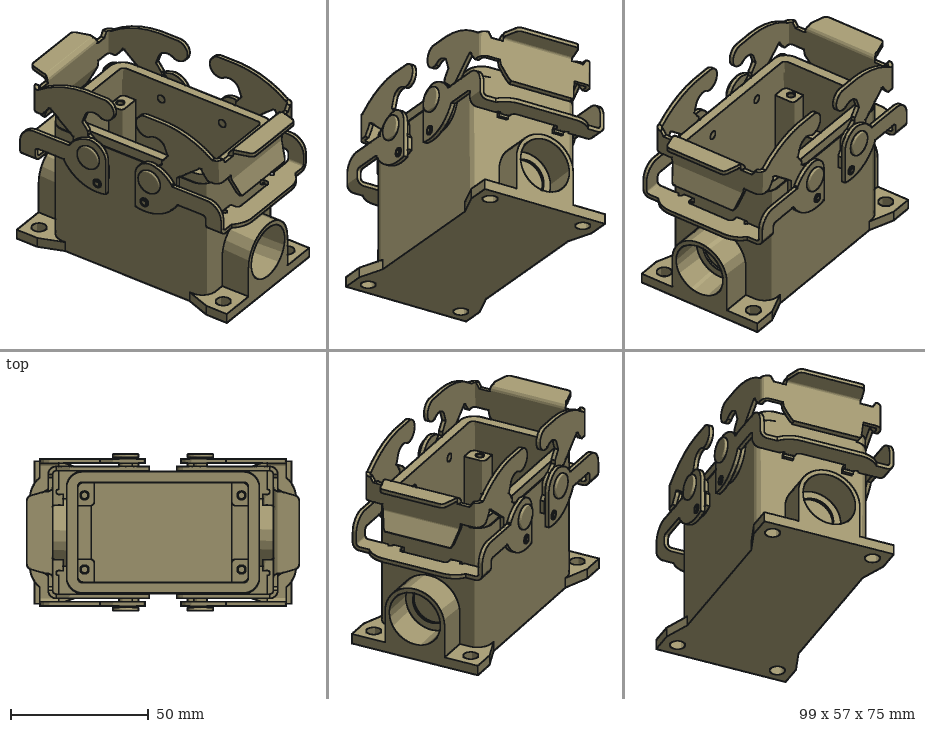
import cadquery as cq
import math

body_half_x = 35.0
body_half_y = 22.3
body_corner_radius = 6.0
body_height = 57.1
rim_height = 4.1
rim_step = 0.3
cavity_half_x = 31.0
cavity_half_y = 18.0
cavity_corner_radius = 1.9
mouth_depth = 4.8
mouth_flare = 0.3
floor_thickness = 4.1
boss_size_x = 6.0
boss_size_y = 8.3
boss_corner_radius = 1.5
boss_top = 45.1
boss_hole_x = 28.5
boss_hole_y = 13.5
boss_hole_radius = 1.3
boss_hole_depth = 14.8
boss_hole_chamfer = 0.3
ledge_sizes_x = {-1: 4.9, 1: boss_size_x}
ledge_top = 31.6
base_half_x = 46.7
base_half_y = 25.9
base_thickness = 4.0
base_shoulder_x = 37.6
base_taper_end_x = 27.6
mount_hole_x = 41.0
mount_hole_y = 20.0
mount_hole_radius = 2.8
port_axis_z = 16.7
port_outer_radius = 12.3
port_bore_radius = 10.5
port_bore_depth = 12.7
knockout_radius = 7.6
knockout_depth = 1.0

sheet = 1.6
bend_radius = 2.9
bend_inner_radius = bend_radius - sheet
hook_outer_y = 24.0
lever_outer_y = 26.7
pivot_x = -13.6
pivot_z = 50.1
shank_radius = 1.6
collar_radius = 2.5
head_radius = 4.8
head_round = 0.5
head_thickness = 1.3
head_outer_y = 28.5
peg_x = -10.5
peg_z = 39.2
peg_radius = 1.7
peg_recess_depth = 0.3
peg_tip_size = 1.9
peg_height = 0.3


def box(x_range, y_range, z_range):
    """Axis-aligned box from its limits."""
    size = [high - low for low, high in (x_range, y_range, z_range)]
    corner = cq.Vector(x_range[0], y_range[0], z_range[0])
    return cq.Workplane(obj=cq.Solid.makeBox(*size, corner))


def rod(radius, start, direction, length):
    """Round bar from a start point along a direction."""
    cylinder = cq.Solid.makeCylinder(radius, length, cq.Vector(*start), cq.Vector(*direction))
    return cq.Workplane(obj=cylinder)


def rounded_block(half_x, half_y, z_low, z_high, radius):
    """Upright block with rounded vertical edges."""
    block = box((-half_x, half_x), (-half_y, half_y), (z_low, z_high))
    return block.edges("|Z").fillet(radius)


def arc_middle(center, radius, u_side, v_side):
    """Middle of the quarter arc that lies toward (u_side, v_side) from its center."""
    offset = radius * math.sqrt(0.5)
    return (center[0] + u_side * offset, center[1] + v_side * offset)


def mirrored_in_y(shape):
    """The shape together with its mirror image across the XZ plane."""
    return shape.union(shape.mirror("XZ"))


def housing_shell():
    """Outer block with the narrower rim at its open end."""
    shoulder_z = body_height - rim_height
    shell = rounded_block(body_half_x, body_half_y, 0, shoulder_z, body_corner_radius)
    rim_radius = body_corner_radius - rim_step
    rim = rounded_block(body_half_x, body_half_y - rim_step, shoulder_z, body_height, rim_radius)
    return shell.union(rim)


def base_flange():
    """Mounting flange with tapered sides and four holes."""
    quarter = [
        (base_half_x, base_half_y),
        (base_shoulder_x, base_half_y),
        (base_taper_end_x, body_half_y),
    ]
    upper = quarter + [(-x, y) for x, y in reversed(quarter)]
    lower = [(x, -y) for x, y in reversed(upper)]
    flange = cq.Workplane("XY").polyline(upper + lower).close().extrude(base_thickness)
    holes = cq.Workplane("XY").rect(2 * mount_hole_x, 2 * mount_hole_y, forConstruction=True).vertices()
    return flange.cut(holes.circle(mount_hole_radius).extrude(base_thickness))


def cable_ports():
    """Arched port stubs at both ends, as one bar through the housing."""
    length = 2 * base_half_x
    barrel = rod(port_outer_radius, (-base_half_x, 0, port_axis_z), (1, 0, 0), length)
    foot = box((-base_half_x, base_half_x), (-port_outer_radius, port_outer_radius), (0, port_axis_z))
    return barrel.union(foot)


def cavity_mouth():
    """Upper part of the cavity, whose long sides lean outward."""
    mouth_z = body_height - mouth_depth
    top_half_y = cavity_half_y + mouth_flare
    section = [
        (-cavity_half_y, mouth_z),
        (cavity_half_y, mouth_z),
        (top_half_y, body_height),
        (-top_half_y, body_height),
    ]
    plane = cq.Workplane("YZ", origin=(-cavity_half_x, 0, 0))
    mouth = plane.polyline(section).close().extrude(2 * cavity_half_x)
    return mouth.edges("not (|X or |Y)").fillet(cavity_corner_radius)


def cavity():
    """Inner space, leaving the screw bosses and end ledges standing."""
    space = rounded_block(cavity_half_x, cavity_half_y, floor_thickness, body_height, cavity_corner_radius)
    space = space.union(cavity_mouth())
    for side_x in (-1, 1):
        end_x = sorted((side_x * cavity_half_x, side_x * (cavity_half_x - ledge_sizes_x[side_x])))
        space = space.cut(box(end_x, (-cavity_half_y, cavity_half_y), (floor_thickness, ledge_top)))
        for side_y in (-1, 1):
            space = space.cut(screw_boss(side_x, side_y))
    return space


def screw_boss(side_x, side_y):
    """Corner boss with a chamfered blind screw hole."""
    boss_x = sorted((side_x * cavity_half_x, side_x * (cavity_half_x - boss_size_x)))
    boss_y = sorted((side_y * cavity_half_y, side_y * (cavity_half_y - boss_size_y)))
    boss = box(boss_x, boss_y, (floor_thickness, boss_top))
    inner_x_side = "<X" if side_x > 0 else ">X"
    inner_y_side = "<Y" if side_y > 0 else ">Y"
    boss = boss.edges("|Z").edges(inner_x_side).edges(inner_y_side).fillet(boss_corner_radius)
    hole_start = (side_x * boss_hole_x, side_y * boss_hole_y, boss_top)
    hole = rod(boss_hole_radius, hole_start, (0, 0, -1), boss_hole_depth)
    boss = boss.cut(hole)
    hole_edge = cq.selectors.RadiusNthSelector(0)
    return boss.faces(">Z").edges("%CIRCLE").edges(hole_edge).chamfer(boss_hole_chamfer)


def build_housing():
    """Housing with port bores, knockouts and pin holes."""
    body = housing_shell().union(base_flange()).union(cable_ports())
    body = body.cut(cavity())
    for side in (-1, 1):
        mouth = (side * base_half_x, 0, port_axis_z)
        body = body.cut(rod(port_bore_radius, mouth, (-side, 0, 0), port_bore_depth))
        body = body.cut(rod(knockout_radius, mouth, (-side, 0, 0), port_bore_depth + knockout_depth))
    for side_x in (-1, 1):
        start = (side_x * pivot_x, -body_half_y, pivot_z)
        body = body.cut(rod(shank_radius, start, (0, 1, 0), 2 * body_half_y))
    return body


frame_outer_x = -41.7
frame_inner_x = frame_outer_x + sheet
hook_start_x = frame_outer_x + bend_radius
frame_bottom = 57.5
frame_top = 67.5
tab_top = 68.4
tab_end_x = -49.5
hook_top = 75.0
hook_tip_radius = 4.4
hook_tip_x = -9.2

lever_outer_x = -44.7
lever_inner_x = -37.9
lever_right_x = -6.5
arm_top = 51.1
arm_bottom = 44.0
arm_outer_radius = 6.5
arm_inner_radius = 1.4
bridge_bottom = 37.8
bridge_top = bridge_bottom + sheet
lever_bend_z = bridge_bottom + bend_radius
lip_near_y = 9.9
lip_far_y = 13.9
lip_end_x = -36.2
lip_bottom = 37.0


def hook_plate():
    """Side plate with the hook, on the -Y side."""
    neck_arc_radius = 4.2
    tip_center = (hook_tip_x, hook_top - hook_tip_radius)
    pivot = (pivot_x, pivot_z)
    neck_x = -16.4
    foot_back_x = -23.0
    foot_front_x = -8.1
    outline = (
        cq.Workplane("XZ", origin=(0, -hook_outer_y + sheet, 0))
        .moveTo(hook_start_x, frame_top)
        .threePointArc((-28.8, 72.8), (-17.7, hook_top))
        .lineTo(hook_tip_x, hook_top)
        .threePointArc(arc_middle(tip_center, hook_tip_radius, 1, -1), (-10.7, 66.4))
        .threePointArc((-13.9, 67.5), (-17.5, 65.4))
        .lineTo(-19.0, 61.5)
        .lineTo(neck_x, 58.2)
        .lineTo(neck_x, 56.6)
        .lineTo(pivot_x, pivot_z + neck_arc_radius)
        .threePointArc(arc_middle(pivot, neck_arc_radius, 1, 1), (pivot_x + neck_arc_radius, pivot_z))
        .lineTo(-9.4, 47.0)
        .lineTo(foot_front_x, 45.2)
        .lineTo(foot_front_x, 40.2)
        .threePointArc((-18.0, 40.8), (foot_back_x, 48.5))
        .lineTo(foot_back_x, 53.2)
        .lineTo(-33.2, 61.6)
        .lineTo(-33.9, 61.6)
        .lineTo(-34.6, 60.3)
        .lineTo(-36.9, frame_bottom)
        .lineTo(hook_start_x, frame_bottom)
        .close()
    )
    return outline.extrude(sheet)


def sheet_bend(plane, origin, length):
    """Quarter bend toward the negative axes of a plane, with its axis through the origin."""
    center = (0, 0)
    return (
        cq.Workplane(plane, origin=origin)
        .moveTo(-bend_radius, 0)
        .threePointArc(arc_middle(center, bend_radius, -1, -1), (0, -bend_radius))
        .lineTo(0, -bend_inner_radius)
        .threePointArc(arc_middle(center, bend_inner_radius, -1, -1), (-bend_inner_radius, 0))
        .close()
        .extrude(length)
    )


def hook_corner():
    """Upright bend between hook plate and cross plate."""
    axis = (hook_start_x, -hook_outer_y + bend_radius, frame_bottom)
    return sheet_bend("XY", axis, frame_top - frame_bottom)


def symmetric_outline(half):
    """Closed outline from the points of its +Y half."""
    return half + [(u, -v) for u, v in reversed(half)]


def cross_plate():
    """Flat plate between the two corners, with raised ends."""
    half_y = hook_outer_y - bend_radius
    shoulder_z = 65.4
    half_face = [
        (frame_bottom, half_y),
        (frame_top, half_y),
        (shoulder_z, 19.8),
    ]
    face = [(y, z) for z, y in symmetric_outline(half_face)]
    return cq.Workplane("YZ", origin=(frame_outer_x, 0, 0)).polyline(face).close().extrude(sheet)


def thumb_tab():
    """Tab bent outward from the top of the cross plate, narrowing to a rounded end."""
    root_half_y = 15.6
    neck_half_y = 14.8
    end_half_y = 13.0
    end_round = 2.0
    bend_x = frame_inner_x - bend_radius
    bend_z = tab_top - bend_radius
    bend_center = (bend_x, bend_z)
    profile = (
        cq.Workplane("XZ", origin=(0, root_half_y, 0))
        .moveTo(tab_end_x, tab_top)
        .lineTo(bend_x, tab_top)
        .threePointArc(arc_middle(bend_center, bend_radius, 1, 1), (frame_inner_x, bend_z))
        .lineTo(frame_inner_x, frame_bottom)
        .lineTo(frame_outer_x, frame_bottom)
        .lineTo(frame_outer_x, bend_z)
        .threePointArc(arc_middle(bend_center, bend_inner_radius, 1, 1), (bend_x, bend_z + bend_inner_radius))
        .lineTo(tab_end_x, tab_top - sheet)
        .close()
        .extrude(2 * root_half_y)
    )
    half_plan = [
        (frame_inner_x, root_half_y),
        (frame_outer_x, neck_half_y),
        (bend_x, neck_half_y),
        (tab_end_x, end_half_y),
    ]
    plan = (
        cq.Workplane("XY", origin=(0, 0, frame_bottom))
        .polyline(symmetric_outline(half_plan))
        .close()
        .extrude(tab_top - frame_bottom)
    )
    return profile.intersect(plan.edges("|Z and <X").fillet(end_round))


def kicked_tab():
    """Tab below the cross plate, bent outward at its lower part."""
    root_half_y = 16.1
    kick_z = 55.0
    kick_end = (-44.7, 48.3)
    kick_angle = math.atan2(frame_outer_x - kick_end[0], kick_z - kick_end[1])
    inner_corner = (frame_outer_x, kick_z + sheet * math.tan(kick_angle / 2))
    profile = (
        cq.Workplane("XZ", origin=(0, root_half_y, 0))
        .moveTo(frame_inner_x, frame_bottom)
        .lineTo(frame_inner_x, kick_z)
        .lineTo(kick_end[0] + sheet * math.cos(kick_angle), kick_end[1] - sheet * math.sin(kick_angle))
        .lineTo(*kick_end)
        .lineTo(*inner_corner)
        .lineTo(frame_outer_x, frame_bottom)
        .close()
        .extrude(2 * root_half_y)
    )
    for corner, radius in (((frame_inner_x, kick_z), bend_radius), (inner_corner, bend_inner_radius)):
        nearest = cq.selectors.NearestToPointSelector((corner[0], 0, corner[1]))
        profile = profile.edges("|Y").edges(nearest).fillet(radius)
    half_face = [
        (frame_bottom, root_half_y),
        (55.8, 15.8),
        (49.3, 14.1),
        (47.5, 13.0),
    ]
    face = [(y, z) for z, y in symmetric_outline(half_face)]
    plane = cq.Workplane("YZ", origin=(tab_end_x, 0, 0))
    cutter = plane.polyline(face).close().extrude(frame_inner_x - tab_end_x)
    return profile.intersect(cutter)


def lever_plate():
    """Outer side plate of the lever, on the -Y side."""
    arm_center = (lever_outer_x + arm_outer_radius, arm_top - arm_outer_radius)
    fillet_center = (lever_inner_x + arm_inner_radius, arm_bottom - arm_inner_radius)
    outline = (
        cq.Workplane("XZ", origin=(0, -lever_outer_y + sheet, 0))
        .moveTo(lever_outer_x, lever_bend_z)
        .lineTo(lever_outer_x, arm_center[1])
        .threePointArc(arc_middle(arm_center, arm_outer_radius, -1, 1), (arm_center[0], arm_top))
        .lineTo(-23.0, arm_top)
        .lineTo(-22.8, 51.7)
        .threePointArc((-18.7, 55.3), (pivot_x, 57.1))
        .threePointArc((-8.5, 54.9), (lever_right_x, 50.5))
        .lineTo(lever_right_x, 35.9)
        .threePointArc((-19.4, 37.9), (-25.3, arm_bottom))
        .lineTo(fillet_center[0], arm_bottom)
        .threePointArc(arc_middle(fillet_center, arm_inner_radius, -1, 1), (lever_inner_x, fillet_center[1]))
        .lineTo(lever_inner_x, lever_bend_z)
        .close()
    )
    return outline.extrude(sheet)


def lever_corner():
    """Bend between lever plate and bridge."""
    axis = (lever_outer_x, -lever_outer_y + bend_radius, lever_bend_z)
    return sheet_bend("YZ", axis, lever_inner_x - lever_outer_x)


def bridge():
    """Flat bar joining the two lever plates, with a wide grip edge."""
    half_y = lever_outer_y - bend_radius
    grip_x = -48.4
    recess_x = -40.6
    recess_round = 1.5
    relief_radius = 0.9
    grip_half_y = 12.7
    shoulder = (-45.9, 18.8)
    shoulder_root_y = 19.9
    grip_arc_middle = (-47.7, 15.8)
    plate = (
        cq.Workplane("XY", origin=(0, 0, bridge_bottom))
        .moveTo(lever_inner_x, half_y)
        .lineTo(lever_outer_x, half_y)
        .lineTo(lever_outer_x, shoulder_root_y)
        .lineTo(*shoulder)
        .threePointArc(grip_arc_middle, (grip_x, grip_half_y))
        .lineTo(grip_x, 0)
        .lineTo(lever_inner_x, 0)
        .close()
        .extrude(sheet)
    )
    plate = mirrored_in_y(plate).clean()
    recess = box((recess_x, lever_inner_x), (-lip_near_y, lip_near_y), (bridge_bottom, bridge_top))
    plate = plate.cut(recess.edges("|Z and <X").fillet(recess_round))
    for side in (-1, 1):
        relief = (lever_inner_x, side * (lip_far_y + relief_radius), bridge_bottom)
        plate = plate.cut(rod(relief_radius, relief, (0, 0, 1), sheet))
    return plate


def bridge_lip():
    """Small lip bent down from the inner edge of the bridge."""
    lip_round = lip_end_x - lever_inner_x
    lip_inner_round = 0.5
    lip_end_z = lip_bottom - bridge_top + lip_round
    center = (0, 0)
    return (
        cq.Workplane("XZ", origin=(lever_inner_x, -lip_near_y, bridge_top - lip_round))
        .moveTo(0, lip_round)
        .threePointArc(arc_middle(center, lip_round, 1, 1), (lip_round, 0))
        .lineTo(lip_round, lip_end_z)
        .lineTo(lip_inner_round, lip_end_z)
        .lineTo(lip_inner_round, 0)
        .threePointArc(arc_middle(center, lip_inner_round, 1, 1), (0, lip_inner_round))
        .close()
        .extrude(lip_far_y - lip_near_y)
    )


def pivot_pin():
    """Headed pin: shank in the housing wall, collar through the sheet parts, rounded head."""
    head_inner_y = head_outer_y - head_thickness
    shank = rod(shank_radius, (pivot_x, -cavity_half_y, pivot_z), (0, -1, 0), body_half_y - cavity_half_y)
    collar = rod(collar_radius, (pivot_x, -body_half_y, pivot_z), (0, -1, 0), head_inner_y - body_half_y)
    head = rod(head_radius, (pivot_x, -head_inner_y, pivot_z), (0, -1, 0), head_thickness)
    head = head.edges("%CIRCLE").fillet(head_round)
    return shank.union(collar).union(head)


def link_peg():
    """Rivet between hook plate and lever plate."""
    return rod(peg_radius, (peg_x, -hook_outer_y, peg_z), (0, -1, 0), lever_outer_y - hook_outer_y)


def peg_recess():
    """Round recess in the lever plate around a square rivet end."""
    floor_y = -lever_outer_y + peg_recess_depth
    return rod(peg_radius, (peg_x, floor_y, peg_z), (0, -1, 0), peg_recess_depth)


def peg_tip():
    """Square end of the rivet."""
    half = peg_tip_size / 2
    y_range = (-lever_outer_y - peg_height, -lever_outer_y + peg_recess_depth)
    return box((peg_x - half, peg_x + half), y_range, (peg_z - half, peg_z + half))


def build_latch():
    """Hook frame, lever and pins of one latch as a single solid."""
    side = hook_plate()
    for piece in (hook_corner(), lever_plate(), lever_corner(), bridge_lip(), pivot_pin(), link_peg()):
        side = side.union(piece)
    side = side.cut(peg_recess()).union(peg_tip())
    latch_body = mirrored_in_y(side)
    for piece in (cross_plate(), thumb_tab(), kicked_tab(), bridge()):
        latch_body = latch_body.union(piece)
    return latch_body


housing = build_housing()
latch = build_latch()
latches = [latch.rotate((0, 0, 0), (0, 0, 1), angle) for angle in (0, 180)]

result = cq.Compound.makeCompound([housing.val(), *[copy.val() for copy in latches]])